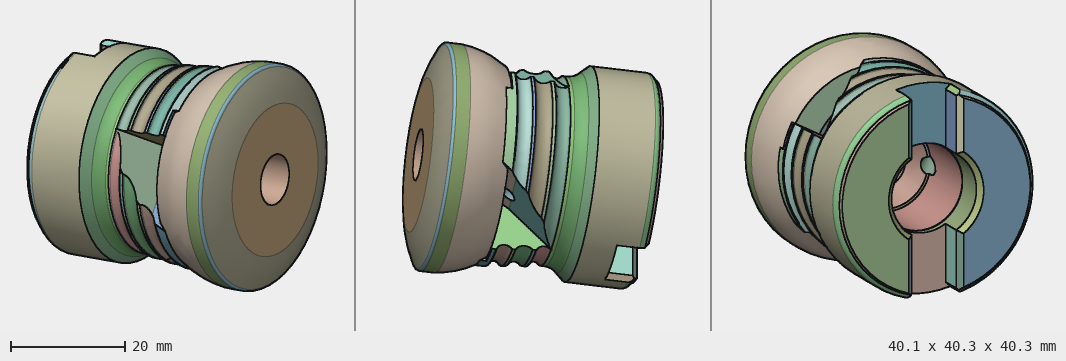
import cadquery as cq
import math

LENGTH = 40.05

COLLAR_R = 19.0
COLLAR_END_X = 11.65
FACE_R = 17.88
BEVEL_X = 0.55
BEVEL_R = 18.2
ROUND_MID = (1.0, 18.75)
ROUND_END_X = 1.7

CONE_END = (13.25, 17.55)
NECK_ROUND_MID = (14.25, 16.95)
NECK_ROUND_END_X = 15.62
NECK_R = 16.7

GROOVES = [
    (16.43, 17.47, 16.15, 18.75, 17.15),
    (19.7, 21.0, 16.55, 22.45, 17.55),
    (23.3, 24.4, 16.83, 25.9, 17.95),
]
GROOVE_EDGE_BREAK = 0.15

HEAD_R = 20.15
HEAD_BACK_X = 26.77
HEAD_BACK_R = 17.25
HEAD_FLANK_MID = (30.55, 19.15)
HEAD_FLANK_END_X = 34.82
RIM_START_X = 37.32
RIM_MID = (37.65, 20.0)
RIM_END = (37.85, 19.7)
DOME_MID = (39.17, 16.83)
FRONT_R = 13.55
RECESS_MOUTH_R = 12.08
RECESS_FLOOR_R = 6.45
RECESS_FLOOR_X = 29.8
CORE_END_X = RECESS_FLOOR_X

BORE_MOUTH_DIA = 16.15
BORE_DIA = 16.0
BORE_STEP_X = 7.1
BORE_END_X = 20.95
CONE_START_R = 7.5
THROUGH_DIA = 9.0
MOUTH_CHAMFER = 0.95

SLOT_WIDTH = 8.45
SLOT_DEPTH = 5.68
SLOT_CHAMFER = 0.95
SLOT_FLARE_Z = 17.4

POCKET_COUNT = 3
POCKET_ANGLE = 148.0
FLOOR_APEX = (16.25, 16.6)
FLOOR_BEND = (23.87, 9.1)
FLOOR_END = (RECESS_FLOOR_X, 4.95)
FLOOR_DIRECTION = (1.3, 2.15, 12.7)
POCKET_SWEEPS = 2
RELIEF_SWEEP = 16.0

COOLANT_DIA = 3.0
COOLANT_INNER = (20.55, 7.4, 184.0)
COOLANT_OUTER = (25.05, 10.7, 176.0)
COOLANT_OVERRUN = 2.25

CLEAR = 24.15


def polar_point(x, radius, angle):
    """Point at an axial position, a radius and an angle from +Y towards +Z."""
    turn = math.radians(angle)
    return cq.Vector(x, radius * math.cos(turn), radius * math.sin(turn))


def revolve_about_x(outline):
    return outline.close().revolve(360, (0, 0, 0), (1, 0, 0))


def make_core():
    """Collar, neck and grooved shank."""
    outline = (
        cq.Workplane("XY")
        .lineTo(0, FACE_R)
        .lineTo(BEVEL_X, BEVEL_R)
        .threePointArc(ROUND_MID, (ROUND_END_X, COLLAR_R))
        .lineTo(COLLAR_END_X, COLLAR_R)
        .lineTo(*CONE_END)
        .threePointArc(NECK_ROUND_MID, (NECK_ROUND_END_X, NECK_R))
    )
    land_r = NECK_R
    for start_x, bottom_x, bottom_r, end_x, next_land_r in GROOVES:
        outline = (
            outline
            .lineTo(start_x - GROOVE_EDGE_BREAK, land_r)
            .lineTo(start_x, land_r - GROOVE_EDGE_BREAK)
            .threePointArc((bottom_x, bottom_r), (end_x, next_land_r - GROOVE_EDGE_BREAK))
            .lineTo(end_x + GROOVE_EDGE_BREAK, next_land_r)
        )
        land_r = next_land_r
    return revolve_about_x(outline.lineTo(CORE_END_X, land_r).lineTo(CORE_END_X, 0))


def make_head():
    """Flared head with a rounded rim and a domed front."""
    outline = (
        cq.Workplane("XY")
        .moveTo(RECESS_FLOOR_X, 0)
        .lineTo(RECESS_FLOOR_X, RECESS_FLOOR_R)
        .lineTo(HEAD_BACK_X, RECESS_MOUTH_R)
        .lineTo(HEAD_BACK_X, HEAD_BACK_R)
        .threePointArc(HEAD_FLANK_MID, (HEAD_FLANK_END_X, HEAD_R))
        .lineTo(RIM_START_X, HEAD_R)
        .threePointArc(RIM_MID, RIM_END)
        .threePointArc(DOME_MID, (LENGTH, FRONT_R))
        .lineTo(LENGTH, 0)
    )
    return revolve_about_x(outline)


def make_pocket(wall_angle):
    """Oblique prism between the radial wall and the two floor planes."""
    apex_x, apex_r = FLOOR_APEX
    bend_x, bend_r = FLOOR_BEND
    clear_x = apex_x + (CLEAR - apex_r) * (bend_x - apex_x) / (bend_r - apex_r)
    profile = [(clear_x, CLEAR), FLOOR_BEND, FLOOR_END, (FLOOR_END[0], CLEAR)]
    corners = [polar_point(x, radius, wall_angle) for x, radius in profile]
    run_x, run_radial, run_side = FLOOR_DIRECTION
    sweep = (
        cq.Vector(run_x, 0, 0)
        + polar_point(0, run_radial, wall_angle)
        + polar_point(0, run_side, wall_angle + 90)
    )
    wire = cq.Wire.makePolygon(corners, close=True)
    return cq.Workplane(obj=cq.Solid.extrudeLinear(wire, [], sweep * POCKET_SWEEPS))


def make_relief(wall_angle):
    """Band of the last land removed just behind a pocket wall."""
    band = (
        cq.Workplane("XY")
        .moveTo(HEAD_BACK_X, HEAD_BACK_R)
        .lineTo(CORE_END_X, HEAD_BACK_R)
        .lineTo(CORE_END_X, HEAD_R)
        .lineTo(HEAD_BACK_X, HEAD_R)
        .close()
        .revolve(RELIEF_SWEEP, (0, 0, 0), (1, 0, 0))
    )
    return band.rotate((0, 0, 0), (1, 0, 0), wall_angle - RELIEF_SWEEP)


def make_bore():
    mouth_r = BORE_MOUTH_DIA / 2
    bore_r = BORE_DIA / 2
    through_r = THROUGH_DIA / 2
    cone_end_x = BORE_END_X + CONE_START_R - through_r
    outline = (
        cq.Workplane("XY")
        .lineTo(0, mouth_r + MOUTH_CHAMFER)
        .lineTo(MOUTH_CHAMFER, mouth_r)
        .lineTo(BORE_STEP_X, mouth_r)
        .lineTo(BORE_STEP_X, bore_r)
        .lineTo(BORE_END_X, bore_r)
        .lineTo(BORE_END_X, CONE_START_R)
        .lineTo(cone_end_x, through_r)
        .lineTo(LENGTH, through_r)
        .lineTo(LENGTH, 0)
    )
    return revolve_about_x(outline)


def make_slot():
    """Slot along Z with chamfered face edges and flared ends."""
    half = SLOT_WIDTH / 2
    section = [
        (0, -half - SLOT_CHAMFER),
        (SLOT_CHAMFER, -half),
        (SLOT_DEPTH, -half),
        (SLOT_DEPTH, half),
        (SLOT_CHAMFER, half),
        (0, half + SLOT_CHAMFER),
    ]
    slot = cq.Workplane("XY").polyline(section).close().extrude(CLEAR, both=True)
    flare = CLEAR - SLOT_FLARE_Z
    for end in (1, -1):
        ends = [
            (-half, end * SLOT_FLARE_Z),
            (half, end * SLOT_FLARE_Z),
            (half + flare, end * CLEAR),
            (-half - flare, end * CLEAR),
        ]
        slot = slot.union(cq.Workplane("YZ").polyline(ends).close().extrude(SLOT_DEPTH))
    return slot


def make_coolant_hole(turn):
    inner_x, inner_r, inner_angle = COOLANT_INNER
    outer_x, outer_r, outer_angle = COOLANT_OUTER
    inner = polar_point(inner_x, inner_r, inner_angle + turn)
    outer = polar_point(outer_x, outer_r, outer_angle + turn)
    run = outer - inner
    start = inner - run.normalized() * COOLANT_OVERRUN
    length = run.Length + 2 * COOLANT_OVERRUN
    return cq.Workplane(obj=cq.Solid.makeCylinder(COOLANT_DIA / 2, length, start, run))


core = make_core()
for i in range(POCKET_COUNT):
    turn = i * 360 / POCKET_COUNT
    core = core.cut(make_pocket(POCKET_ANGLE + turn))
    core = core.cut(make_relief(POCKET_ANGLE + turn))
    core = core.cut(make_coolant_hole(turn))

result = core.union(make_head()).cut(make_bore()).cut(make_slot())